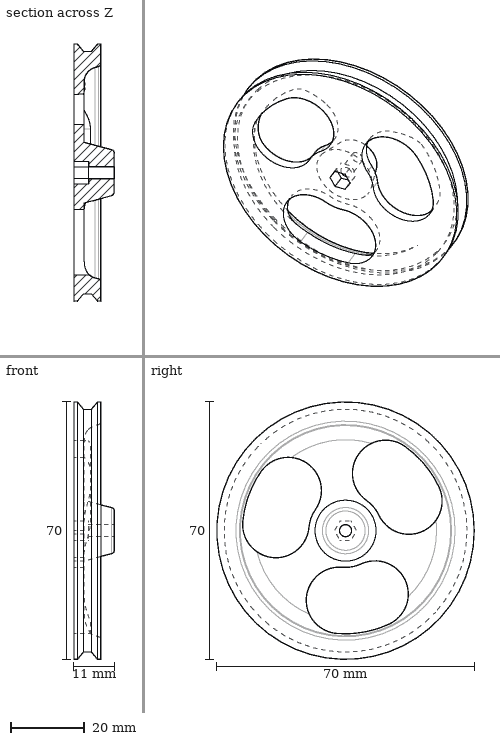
import cadquery as cq
import math

wheel_diameter = 70.0
wheel_width = 7.35
groove_floor_diameter = 66.0
groove_mouth_width = 5.45
groove_floor_width = 2.1

hub_length = 3.65
hub_base_diameter = 14.15
hub_edge_radius = 1.0

web_thickness = 2.8
recess_diameter = 58.0
recess_fillet = 4.0
recess_rim_radius = 1.0
draft_angle = 15.0

axle_diameter = 3.2
hex_across_corners = 6.0
hex_depth = 4.0

window_count = 3
window_inner_radius = 10.0
window_outer_radius = 28.0
window_span = 30.0
first_window_angle = 40.0

total_length = wheel_width + hub_length
draft_slope = math.tan(math.radians(draft_angle))


def make_wheel():
    rim_radius = wheel_diameter / 2
    floor_radius = groove_floor_diameter / 2
    middle = wheel_width / 2
    profile = [
        (0, 0),
        (0, rim_radius),
        (middle - groove_mouth_width / 2, rim_radius),
        (middle - groove_floor_width / 2, floor_radius),
        (middle + groove_floor_width / 2, floor_radius),
        (middle + groove_mouth_width / 2, rim_radius),
        (wheel_width, rim_radius),
        (wheel_width, 0),
    ]
    return cq.Workplane("XY").polyline(profile).close().revolve(360, (0, 0), (1, 0))


def make_recess():
    """Round recess in the +X face, with a sloping wall blended into the web."""
    depth = wheel_width - web_thickness
    rim_foot_radius = recess_diameter / 2 - depth * draft_slope
    profile = [
        (web_thickness, 0),
        (web_thickness, rim_foot_radius),
        (wheel_width, recess_diameter / 2),
        (wheel_width, 0),
    ]
    recess = cq.Workplane("XY").polyline(profile).close().revolve(360, (0, 0), (1, 0))
    return recess.faces("<X").edges().fillet(recess_fillet)


def make_hub():
    """Tapered hub, continuing down to the web inside the recess."""
    foot_radius = hub_base_diameter / 2 + (wheel_width - web_thickness) * draft_slope
    hub = (
        cq.Workplane("YZ", origin=(web_thickness, 0, 0))
        .circle(foot_radius)
        .extrude(total_length - web_thickness, taper=draft_angle)
    )
    return hub.faces(">X").edges().fillet(hub_edge_radius)


def polar_point(radius, angle):
    return (radius * math.cos(math.radians(angle)), radius * math.sin(math.radians(angle)))


def make_window(middle_angle):
    """Arc-shaped slot about the wheel axis, with round ends."""
    start = middle_angle - window_span / 2
    end = middle_angle + window_span / 2
    centre_radius = (window_inner_radius + window_outer_radius) / 2
    end_radius = (window_outer_radius - window_inner_radius) / 2
    sector = (
        cq.Workplane("YZ")
        .moveTo(*polar_point(window_inner_radius, start))
        .lineTo(*polar_point(window_outer_radius, start))
        .threePointArc(polar_point(window_outer_radius, middle_angle), polar_point(window_outer_radius, end))
        .lineTo(*polar_point(window_inner_radius, end))
        .threePointArc(polar_point(window_inner_radius, middle_angle), polar_point(window_inner_radius, start))
        .close()
        .extrude(wheel_width)
    )
    window = sector
    for angle in (start, end):
        round_end = (
            cq.Workplane("YZ")
            .center(*polar_point(centre_radius, angle))
            .circle(end_radius)
            .extrude(wheel_width)
        )
        window = window.union(round_end)
    return window


axle_hole = cq.Workplane("YZ").circle(axle_diameter / 2).extrude(total_length)
hex_pocket = cq.Workplane("YZ").polygon(6, hex_across_corners).extrude(hex_depth)

wheel = make_wheel().cut(make_recess())
recess_mouth = cq.selectors.RadiusNthSelector(0)
wheel = wheel.faces(">X").edges(recess_mouth).fillet(recess_rim_radius)

result = wheel.union(make_hub()).cut(axle_hole).cut(hex_pocket)
for index in range(window_count):
    result = result.cut(make_window(first_window_angle + index * 360 / window_count))